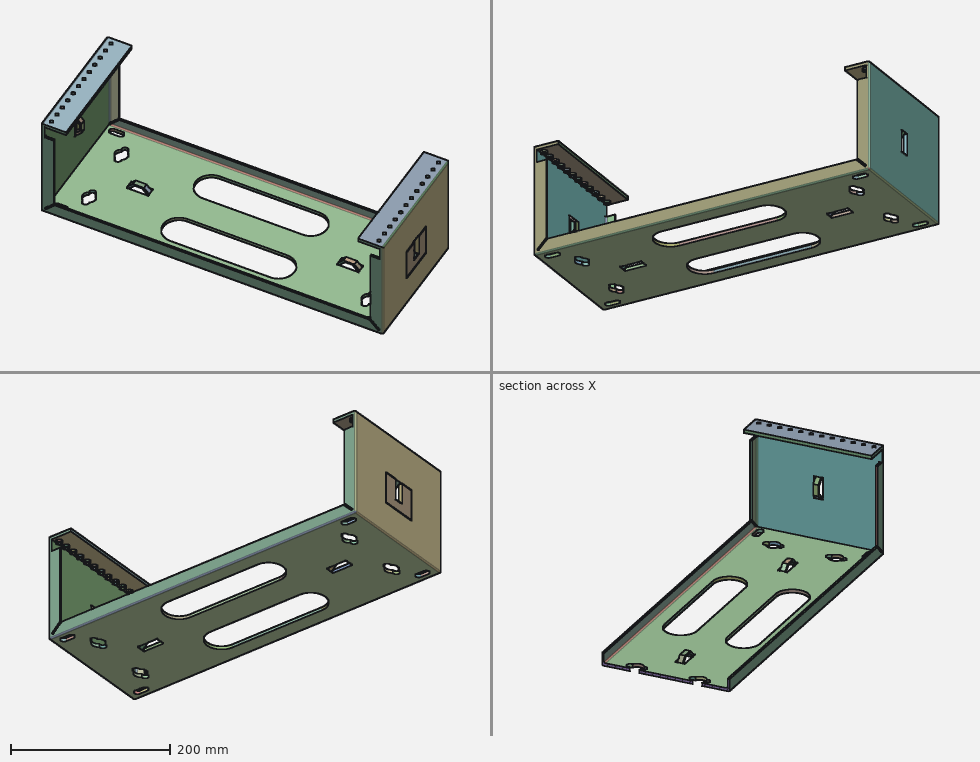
import cadquery as cq
import math

WIDTH = 485.0
DEPTH = 178.0
HEIGHT = 152.0
THICKNESS = 5.0
OUTER_BEND = 2.0
INNER_BEND = 2.0

LIP = 18.0
LIP_THICKNESS = 3.0
LIP_NOTCH = 22.5
MITRE_GAP = 2.0
FLANGE = 35.5

SCREW_COUNT = 12
SCREW_PITCH = 14.5
SCREW_INSET = 10.0
SCREW_DIAMETER = 5.0
BOSS_DIAMETER = 8.7
BOSS_DROP = 3.0

OPENING_Y = 43.5
OPENING_LENGTH = 186.0
OPENING_WIDTH = 45.0
MOUNT_X = 198.5
MOUNT_DIAMETER = 18.5
MOUNT_SLOT_LENGTH = 28.0
MOUNT_SLOT_WIDTH = 9.0
CORNER_SLOT_X = 222.0
CORNER_SLOT_Y = 76.5
CORNER_SLOT_LENGTH = 21.0
CORNER_SLOT_WIDTH = 9.0

BRIDGE_X = 149.0
BRIDGE_WINDOW_LENGTH = 30.5
BRIDGE_WINDOW_WIDTH = 13.0
BRIDGE_WIDTH = 7.5
BRIDGE_INNER_FLAT = 15.5
BRIDGE_OUTER_FLAT = 10.0

PAD_THICKNESS = 1.0
PAD_DEPTH = 52.5
PAD_HEIGHT = 45.0
PAD_CENTRE_Z = 68.5

INNER_WIDTH = WIDTH - 2 * THICKNESS
INNER_DEPTH = DEPTH - 2 * LIP_THICKNESS
FLANGE_UNDERSIDE = HEIGHT - THICKNESS
SIDES = (-1, 1)


def block(x_size, y_size, z_bottom, z_top):
    """Box centred on the Z axis between two heights."""
    box = cq.Workplane("XY").box(x_size, y_size, z_top - z_bottom, centered=(True, True, False))
    return box.translate((0, 0, z_bottom))


def make_shell():
    """Folded floor, walls, flanges and lips, before any holes."""
    outside = block(WIDTH, DEPTH, 0, HEIGHT).edges("|Z or |Y or (<Z and |X)").fillet(OUTER_BEND)
    cavity = block(INNER_WIDTH, INNER_DEPTH, THICKNESS, FLANGE_UNDERSIDE)
    cavity = cavity.edges("|Z or (<Z and |X)").fillet(INNER_BEND)
    between_lips = block(WIDTH - 2 * LIP, DEPTH, LIP, FLANGE_UNDERSIDE)
    above_lips = block(INNER_WIDTH, DEPTH, HEIGHT - LIP_NOTCH, FLANGE_UNDERSIDE)
    between_flanges = block(WIDTH - 2 * FLANGE, DEPTH, FLANGE_UNDERSIDE, HEIGHT)
    return outside.cut(cavity).cut(between_lips).cut(above_lips).cut(between_flanges)


def make_mitre_slits():
    """45 degree slits that part the floor lips from the wall lips."""
    start = THICKNESS + MITRE_GAP / 2
    end = LIP + MITRE_GAP
    length = (end - start) * math.sqrt(2)
    middle = (start + end) / 2
    slits = cq.Workplane("XY")
    for side in SIDES:
        slit = cq.Workplane("XY").box(length, DEPTH, MITRE_GAP)
        slit = slit.rotate((0, 0, 0), (0, 1, 0), side * 45)
        slits = slits.add(slit.translate((side * (WIDTH / 2 - middle), 0, middle)))
    return slits.combine()


def make_screw_features():
    """Bosses below the flanges and the holes that run through them."""
    row_x = WIDTH / 2 - SCREW_INSET
    first_y = -SCREW_PITCH * (SCREW_COUNT - 1) / 2
    points = [
        (side * row_x, first_y + i * SCREW_PITCH)
        for side in SIDES
        for i in range(SCREW_COUNT)
    ]
    base = cq.Workplane("XY", origin=(0, 0, FLANGE_UNDERSIDE - BOSS_DROP)).pushPoints(points)
    bosses = base.circle(BOSS_DIAMETER / 2).extrude(BOSS_DROP)
    holes = base.circle(SCREW_DIAMETER / 2).extrude(BOSS_DROP + THICKNESS)
    return bosses, holes


def make_floor_openings():
    """Long openings, keyed mounting holes and corner slots in the floor."""
    floor = cq.Workplane("XY")
    mounts = [(sx * MOUNT_X, sy * OPENING_Y) for sx in SIDES for sy in SIDES]
    corners = [(sx * CORNER_SLOT_X, sy * CORNER_SLOT_Y) for sx in SIDES for sy in SIDES]
    openings = [(0, side * OPENING_Y) for side in SIDES]
    cuts = floor.pushPoints(openings).slot2D(OPENING_LENGTH, OPENING_WIDTH).extrude(THICKNESS)
    cuts = cuts.union(floor.pushPoints(mounts).circle(MOUNT_DIAMETER / 2).extrude(THICKNESS))
    cuts = cuts.union(
        floor.pushPoints(mounts).slot2D(MOUNT_SLOT_LENGTH, MOUNT_SLOT_WIDTH, 90).extrude(THICKNESS)
    )
    return cuts.union(
        floor.pushPoints(corners).slot2D(CORNER_SLOT_LENGTH, CORNER_SLOT_WIDTH).extrude(THICKNESS)
    )


def make_bridge():
    """Window and bridge strip at the origin, outer sheet face on Z = 0, raised toward +Z.

    The window is deep enough to open the raised pad as well as the sheet.
    """
    half_window = BRIDGE_WINDOW_LENGTH / 2
    outer_half_flat = BRIDGE_OUTER_FLAT / 2
    inner_half_flat = BRIDGE_INNER_FLAT / 2
    outer_top = half_window - outer_half_flat
    inner_top = THICKNESS + half_window - inner_half_flat
    window = block(BRIDGE_WINDOW_LENGTH, BRIDGE_WINDOW_WIDTH, -PAD_THICKNESS, THICKNESS)
    profile = [
        (-half_window, 0),
        (-outer_half_flat, outer_top),
        (outer_half_flat, outer_top),
        (half_window, 0),
        (half_window, THICKNESS),
        (inner_half_flat, inner_top),
        (-inner_half_flat, inner_top),
        (-half_window, THICKNESS),
    ]
    strip = cq.Workplane("XZ").polyline(profile).close().extrude(BRIDGE_WIDTH / 2, both=True)
    return window, strip


def bridge_placements():
    """Placing functions for the two floor bridges and the two wall bridges."""
    def on_floor(side):
        return lambda solid: solid.translate((side * BRIDGE_X, 0, 0))

    def on_wall(side):
        return lambda solid: solid.rotate((0, 0, 0), (0, 1, 0), -90 * side).translate(
            (side * WIDTH / 2, 0, HEIGHT / 2)
        )

    return [place(side) for place in (on_floor, on_wall) for side in SIDES]


def make_pad():
    """Thin raised rectangle on the right wall."""
    face = cq.Workplane("YZ", origin=(WIDTH / 2, 0, PAD_CENTRE_Z))
    return face.rect(PAD_DEPTH, PAD_HEIGHT).extrude(PAD_THICKNESS)


bosses, screw_holes = make_screw_features()
bracket = make_shell().cut(make_mitre_slits()).cut(make_floor_openings())
bracket = bracket.union(bosses).cut(screw_holes).union(make_pad())

bridge_window, bridge_strip = make_bridge()
for place in bridge_placements():
    bracket = bracket.cut(place(bridge_window)).union(place(bridge_strip))

result = cq.Workplane(bracket.solids().val())